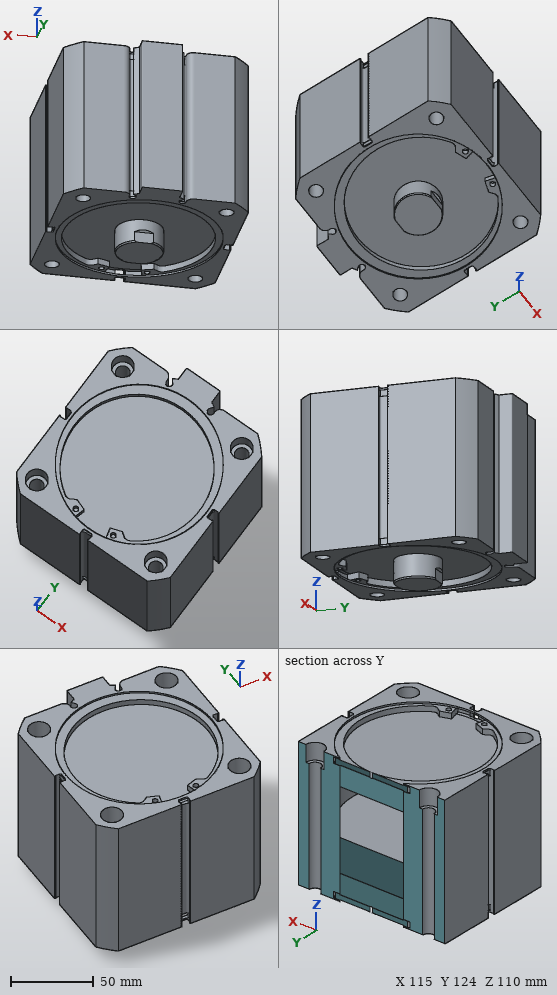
import cadquery as cq
import math

WIDTH = 115.0
HEIGHT = 100.1
HALF = WIDTH / 2
CORNER_RADIUS = 74.5
BORE_RADIUS = 51.0

OVERALL_DEPTH = 124.0
RAIL_TOP = OVERALL_DEPTH - HALF
RAIL_HEIGHT = 8.7
BACK_FACE = RAIL_TOP - RAIL_HEIGHT
RAIL_HALF_WIDTH = 12.5
RAIL_EDGE_FILLET = 0.5
LIP_X = 15.6
LIP_Y = 56.0
CHANNEL_X = 15.5
CHANNEL_Y = 52.6
CHANNEL_RADIUS = 2.1
CHANNEL_EDGE_RADIUS = 4.3

SLOT_DEPTH = 4.6
SLOT_WIDTH = 6.6
SLOT_MOUTH = 5.6
SLOT_MOUTH_CHAMFER = 0.2
SLOT_LIP = 0.7
SLOT_FILLET = 1.0

BOLT_OFFSET = 44.5
BOLT_RADIUS = 4.5
COUNTERBORE_RADIUS = 7.0
COUNTERBORE_DEPTH = 12.4

GROOVE_INSET = 1.2
GROOVE_WIDTH = 4.0
GROOVE_RADIUS = 53.7
RING_OUTER_RADIUS = 52.8
RING_INNER_RADIUS = 46.7
RING_INNER_SHIFT = 2.2
RING_TURN = -0.8
LUG_TIP = (9.8, -42.8)
LUG_PEAK = (17.2, -40.2)
LUG_FOOT = (20.5, -42.4)
LUG_VALLEY = (22.3, -42.8)
LUG_END_X = 24.4
GAP_HALF_WIDTH = 12.0
LUG_HOLE = (14.1, -45.4)
LUG_HOLE_RADIUS = 1.7

COVER_THICKNESS = 14.9

ROD_RADIUS = 14.9
ROD_PROJECTION = 9.9
ROD_END_CHAMFER_LENGTH = 1.0
ROD_END_CHAMFER_DEPTH = 0.5
FLAT_OFFSET = 13.6
FLAT_START = 1.7
PISTON_THICKNESS = 24.8

COVER_INSET = GROOVE_INSET + GROOVE_WIDTH


def disc(radius, bottom, height):
    return cq.Workplane("XY", origin=(0, 0, bottom)).circle(radius).extrude(height)


def make_profile_body():
    """Corner-turned block with the rail on its +Y face."""
    depth = HALF + BACK_FACE
    block = cq.Workplane("XY").center(0, BACK_FACE - depth / 2).rect(WIDTH, depth).extrude(HEIGHT)
    block = block.intersect(disc(CORNER_RADIUS, 0, HEIGHT))
    rail = (
        cq.Workplane("XY")
        .center(0, BACK_FACE + RAIL_HEIGHT / 2)
        .rect(2 * RAIL_HALF_WIDTH, RAIL_HEIGHT)
        .extrude(HEIGHT)
        .edges("|Z and >Y")
        .fillet(RAIL_EDGE_FILLET)
    )
    return block.union(rail)


def make_relief_channel():
    """Undercut on the +X side of the rail: a round floor that opens upward past a sharp lip."""
    diagonal = CHANNEL_RADIUS * math.sqrt(0.5)
    wall_x = CHANNEL_X + CHANNEL_RADIUS
    edge_x = wall_x + CHANNEL_EDGE_RADIUS
    edge_y = BACK_FACE - CHANNEL_EDGE_RADIUS
    edge_diagonal = CHANNEL_EDGE_RADIUS * math.sqrt(0.5)
    return (
        cq.Workplane("XY")
        .moveTo(RAIL_HALF_WIDTH, BACK_FACE)
        .lineTo(LIP_X, LIP_Y)
        .lineTo(CHANNEL_X - diagonal, CHANNEL_Y + diagonal)
        .threePointArc((CHANNEL_X, CHANNEL_Y - CHANNEL_RADIUS), (wall_x, CHANNEL_Y))
        .lineTo(wall_x, edge_y)
        .threePointArc((edge_x - edge_diagonal, edge_y + edge_diagonal), (edge_x, BACK_FACE))
        .close()
        .extrude(HEIGHT)
    )


def make_slot(angle):
    """Lipped slot in the +X face with a chamfered mouth, turned by an angle about Z."""
    inner_x = HALF - SLOT_LIP
    pocket_depth = SLOT_DEPTH - SLOT_LIP
    pocket = (
        cq.Workplane("XY")
        .center(inner_x - pocket_depth / 2, 0)
        .rect(pocket_depth, SLOT_WIDTH)
        .extrude(HEIGHT)
        .edges("|Z and <X")
        .fillet(SLOT_FILLET)
    )
    chamfer_x = HALF - SLOT_MOUTH_CHAMFER
    half_mouth = SLOT_MOUTH / 2
    half_opening = half_mouth + SLOT_MOUTH_CHAMFER
    mouth = (
        cq.Workplane("XY")
        .moveTo(inner_x, -half_mouth)
        .lineTo(chamfer_x, -half_mouth)
        .lineTo(HALF, -half_opening)
        .lineTo(HALF, half_opening)
        .lineTo(chamfer_x, half_mouth)
        .lineTo(inner_x, half_mouth)
        .close()
        .extrude(HEIGHT)
    )
    return pocket.union(mouth).rotate((0, 0, 0), (0, 0, 1), angle)


def cut_bolt_holes(body):
    span = 2 * BOLT_OFFSET
    return (
        body.faces(">Z")
        .workplane(origin=(0, 0, HEIGHT))
        .rect(span, span, forConstruction=True)
        .vertices()
        .cboreHole(2 * BOLT_RADIUS, 2 * COUNTERBORE_RADIUS, COUNTERBORE_DEPTH)
    )


def make_housing():
    channel = make_relief_channel()
    body = make_profile_body().cut(channel).cut(channel.mirror("YZ"))
    for angle in (0, 180, 270):
        body = body.cut(make_slot(angle))
    body = cut_bolt_holes(body)
    body = body.cut(disc(BORE_RADIUS, 0, HEIGHT))
    for bottom in (GROOVE_INSET, HEIGHT - COVER_INSET):
        body = body.cut(disc(GROOVE_RADIUS, bottom, GROOVE_WIDTH))
    return body


def mirrored(point):
    return (-point[0], point[1])


def make_retaining_ring(bottom):
    """Eccentric open ring, with a drilled lug at each side of its gap toward -Y."""
    outer_end = (GAP_HALF_WIDTH, -math.sqrt(RING_OUTER_RADIUS**2 - GAP_HALF_WIDTH**2))
    inner_end_y = -RING_INNER_SHIFT - math.sqrt(RING_INNER_RADIUS**2 - LUG_END_X**2)
    inner_end = (LUG_END_X, inner_end_y)
    return (
        cq.Workplane("XY", origin=(0, 0, bottom))
        .moveTo(*outer_end)
        .threePointArc((0, RING_OUTER_RADIUS), mirrored(outer_end))
        .lineTo(*mirrored(LUG_TIP))
        .lineTo(*mirrored(LUG_PEAK))
        .lineTo(*mirrored(LUG_FOOT))
        .threePointArc(mirrored(LUG_VALLEY), mirrored(inner_end))
        .threePointArc((0, RING_INNER_RADIUS - RING_INNER_SHIFT), inner_end)
        .threePointArc(LUG_VALLEY, LUG_FOOT)
        .lineTo(*LUG_PEAK)
        .lineTo(*LUG_TIP)
        .close()
        .pushPoints([LUG_HOLE, mirrored(LUG_HOLE)])
        .circle(LUG_HOLE_RADIUS)
        .extrude(GROOVE_WIDTH)
        .rotate((0, 0, 0), (0, 0, 1), RING_TURN)
    )


def make_head_cover():
    return disc(BORE_RADIUS, HEIGHT - COVER_INSET - COVER_THICKNESS, COVER_THICKNESS)


def make_rod_cover():
    cover = disc(BORE_RADIUS, COVER_INSET, COVER_THICKNESS)
    return cover.cut(disc(ROD_RADIUS, COVER_INSET, COVER_THICKNESS))


def make_flat_cutter():
    """Cutter on the -Y side for a wrench flat that runs out at 45 degrees."""
    slope = ROD_RADIUS - FLAT_OFFSET
    return (
        cq.Workplane("YZ")
        .moveTo(-ROD_RADIUS, -FLAT_START)
        .lineTo(-FLAT_OFFSET, -FLAT_START - slope)
        .lineTo(-FLAT_OFFSET, -ROD_PROJECTION)
        .lineTo(-ROD_RADIUS, -ROD_PROJECTION)
        .close()
        .extrude(ROD_RADIUS, both=True)
    )


def make_piston_rod():
    piston_bottom = COVER_INSET + COVER_THICKNESS
    rod = disc(ROD_RADIUS, -ROD_PROJECTION, ROD_PROJECTION + piston_bottom)
    rod = rod.faces("<Z").chamfer(ROD_END_CHAMFER_LENGTH, ROD_END_CHAMFER_DEPTH)
    flat_cutter = make_flat_cutter()
    rod = rod.cut(flat_cutter).cut(flat_cutter.mirror("XZ"))
    return rod.union(disc(BORE_RADIUS, piston_bottom, PISTON_THICKNESS))


housing = make_housing()
rings = [make_retaining_ring(bottom) for bottom in (GROOVE_INSET, HEIGHT - COVER_INSET)]
head_cover = make_head_cover()
rod_cover = make_rod_cover()
piston_rod = make_piston_rod()

result = cq.Compound.makeCompound(
    [
        housing.val(),
        *[ring.val() for ring in rings],
        head_cover.val(),
        rod_cover.val(),
        piston_rod.val(),
    ]
)